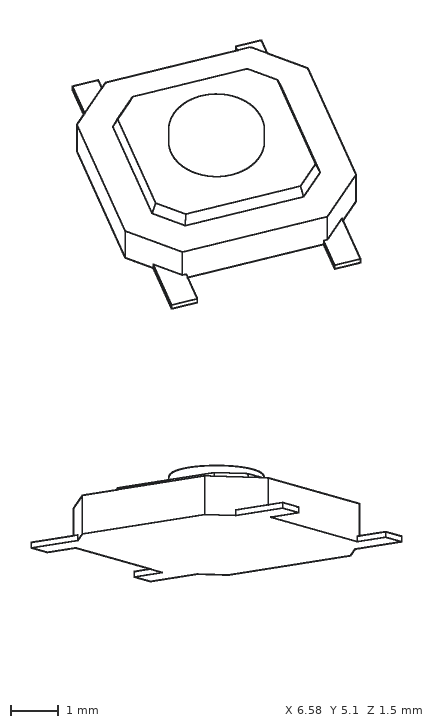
import cadquery as cq

body_side = 5.1
body_corner_cut = 0.95
body_height = 0.83

cover_base_side = 3.71
cover_taper_angle = 20
cover_corner_cut = 0.55
cover_height = 0.25

button_diameter = 2.01
button_edge_radius = 0.07
overall_height = 1.5

terminal_span = 6.58
terminal_width = 0.57
terminal_thickness = 0.12
terminal_pitch = 3.6

cover_top = body_height + cover_height


def cut_corner_points(side, corner_cut):
    """Corners of a centred square with its four corners cut at 45 degrees."""
    half = side / 2
    flat = half - corner_cut
    return [
        (half, -flat),
        (half, flat),
        (flat, half),
        (-flat, half),
        (-half, flat),
        (-half, -flat),
        (-flat, -half),
        (flat, -half),
    ]


def make_body():
    outline = cut_corner_points(body_side, body_corner_cut)
    return cq.Workplane("XY").polyline(outline).close().extrude(body_height)


def make_cover():
    outline = cut_corner_points(cover_base_side, cover_corner_cut)
    return (
        cq.Workplane("XY", origin=(0, 0, body_height))
        .polyline(outline)
        .close()
        .extrude(cover_height, taper=cover_taper_angle)
    )


def make_button():
    button = (
        cq.Workplane("XY", origin=(0, 0, cover_top))
        .circle(button_diameter / 2)
        .extrude(overall_height - cover_top)
    )
    return button.faces(">Z").edges().fillet(button_edge_radius)


def make_terminal_strip(y_centre):
    """One strip through the housing, forming a terminal at each end."""
    return cq.Workplane("XY", origin=(0, y_centre, 0)).box(
        terminal_span, terminal_width, terminal_thickness, centered=(True, True, False)
    )


result = make_body().union(make_cover()).union(make_button())
for side in (-1, 1):
    result = result.union(make_terminal_strip(side * terminal_pitch / 2))